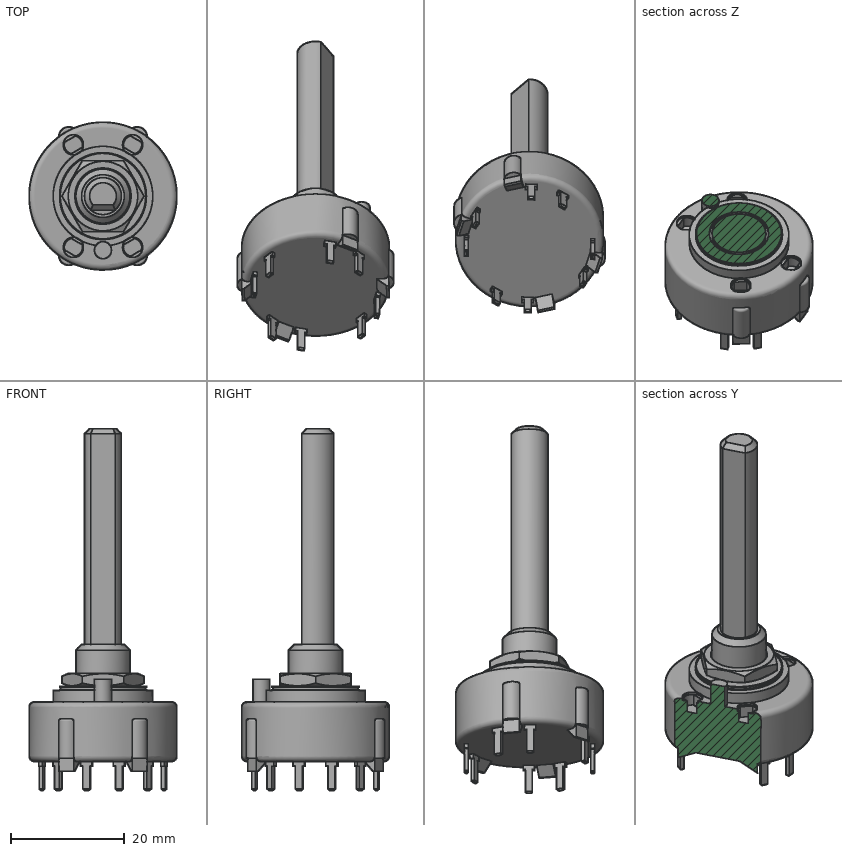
import cadquery as cq
import math


TOTAL_HEIGHT = 63.6
PIN_LENGTH = 5.1
SHAFT_TOP = TOTAL_HEIGHT - PIN_LENGTH

HOUSING_DIA = 26.0
HOUSING_HEIGHT = 10.5
HOUSING_FILLET = 1.0

BOSS_DIA = 17.5
BOSS_HEIGHT = 2.0
BOSS_TOP = HOUSING_HEIGHT + BOSS_HEIGHT

WASHER_DIA = 15.3
WASHER_GROOVE_DIA = 15.0
WASHER_BORE = 10.31
WASHER_THICKNESS = 0.75
WASHER_LIP = 0.15
WASHER_TOP = BOSS_TOP + WASHER_THICKNESS

NUT_ACROSS_FLATS = 12.5
NUT_HEIGHT = 2.25
NUT_FACE_DIA = 12.2
NUT_BORE = 9.9
NUT_CHAMFER_ANGLE = 25.0

BUSHING_DIA = 9.5
BUSHING_HEIGHT = 10.1
BUSHING_CHAMFER = 1.0
BUSHING_TOP = HOUSING_HEIGHT + BUSHING_HEIGHT

SHAFT_DIA = 6.5
SHAFT_FLAT_OFFSET = 2.45
SHAFT_CHAMFER = 0.9
FLAT_DEPTH_IN_BUSHING = 0.5

PEG_DIA = 3.0
PEG_RADIUS = 9.5
PEG_HEIGHT = 4.0

LATCH_ANGLES = (60, 120, 240, 300)
LEG_DIA = 3.55
LEG_RADIUS = 12.0
LEG_BOTTOM = 0.6
LEG_TOP = 7.5
LEG_FILLET = 0.4
FOOT_WIDTH = 3.0
FOOT_OUTER_RADIUS = 12.92
FOOT_DEPTH = 1.72
FOOT_TIP = 0.42
POCKET_DIA = 3.55
POCKET_RADIUS = 10.4
POCKET_DEPTH = 0.4
SLOT_DIA = 3.2
SLOT_WIDTH = 2.35
SLOT_DEPTH = 2.5

PIN_ANGLES = (45, 75, 135, 165, 225, 255, 315, 345)
PIN_RADIUS = 11.1
PIN_WIDTH = 1.25
PIN_THICKNESS = 0.7
PIN_TIP_CHAMFER = 0.3
SHOULDER_WIDTH = 2.05
SHOULDER_HEIGHT = 0.8

EMBED = 0.5


def cylinder(diameter, bottom, top):
    return cq.Workplane("XY").workplane(offset=bottom).circle(diameter / 2).extrude(top - bottom)


def turned(shape, angle):
    return shape.rotate((0, 0, 0), (0, 0, 1), angle)


def make_housing():
    drum = cylinder(HOUSING_DIA, 0, HOUSING_HEIGHT).edges().fillet(HOUSING_FILLET)
    return drum.union(cylinder(BOSS_DIA, HOUSING_HEIGHT - EMBED, BOSS_TOP))


def make_washer():
    rim = cylinder(WASHER_DIA, BOSS_TOP, WASHER_TOP)
    groove = cylinder(WASHER_DIA, BOSS_TOP + WASHER_LIP, WASHER_TOP - WASHER_LIP)
    groove = groove.cut(cylinder(WASHER_GROOVE_DIA, BOSS_TOP, WASHER_TOP))
    return rim.cut(groove).cut(cylinder(WASHER_BORE, BOSS_TOP, WASHER_TOP))


def make_nut():
    corner_radius = NUT_ACROSS_FLATS / 2 / math.cos(math.radians(30))
    drop = (corner_radius - NUT_FACE_DIA / 2) * math.tan(math.radians(NUT_CHAMFER_ANGLE))
    hexagon = cq.Workplane("XY").polygon(6, 2 * corner_radius).extrude(NUT_HEIGHT)
    envelope = (
        cq.Workplane("XZ")
        .polyline([
            (0, 0),
            (NUT_FACE_DIA / 2, 0),
            (corner_radius, drop),
            (corner_radius, NUT_HEIGHT - drop),
            (NUT_FACE_DIA / 2, NUT_HEIGHT),
            (0, NUT_HEIGHT),
        ])
        .close()
        .revolve(360, (0, 0), (0, 1))
    )
    nut = hexagon.intersect(envelope).cut(cylinder(NUT_BORE, 0, NUT_HEIGHT))
    return nut.translate((0, 0, WASHER_TOP))


def make_bushing():
    bushing = cylinder(BUSHING_DIA, BOSS_TOP - EMBED, BUSHING_TOP)
    bushing = bushing.faces(">Z").chamfer(BUSHING_CHAMFER)
    return bushing.cut(cylinder(SHAFT_DIA, BUSHING_TOP - FLAT_DEPTH_IN_BUSHING, BUSHING_TOP))


def make_shaft():
    bottom = BUSHING_TOP - FLAT_DEPTH_IN_BUSHING
    shaft = cylinder(SHAFT_DIA, bottom, SHAFT_TOP).faces(">Z").chamfer(SHAFT_CHAMFER)
    outer_y = -SHAFT_DIA
    flat_cutter = (
        cq.Workplane("YZ")
        .polyline([
            (outer_y, bottom),
            (-SHAFT_FLAT_OFFSET, bottom),
            (-SHAFT_FLAT_OFFSET, SHAFT_TOP - SHAFT_CHAMFER),
            (SHAFT_CHAMFER - SHAFT_FLAT_OFFSET, SHAFT_TOP),
            (outer_y, SHAFT_TOP),
        ])
        .close()
        .extrude(SHAFT_DIA, both=True)
    )
    return shaft.cut(flat_cutter)


def make_peg():
    peg = cylinder(PEG_DIA, HOUSING_HEIGHT - EMBED, HOUSING_HEIGHT + PEG_HEIGHT)
    return peg.translate((0, -PEG_RADIUS, 0))


def make_leg():
    """Leg and hooked foot of one latch, on the +X side."""
    leg = cylinder(LEG_DIA, LEG_BOTTOM, LEG_TOP).faces(">Z").edges().fillet(LEG_FILLET)
    tip_radius = FOOT_OUTER_RADIUS - FOOT_TIP
    foot_top = HOUSING_FILLET
    foot = (
        cq.Workplane("XZ")
        .polyline([
            (FOOT_OUTER_RADIUS, foot_top),
            (FOOT_OUTER_RADIUS, -FOOT_DEPTH),
            (tip_radius, -FOOT_DEPTH),
            (tip_radius - FOOT_DEPTH - EMBED, EMBED),
            (tip_radius - FOOT_DEPTH - EMBED, foot_top),
        ])
        .close()
        .extrude(FOOT_WIDTH / 2, both=True)
    )
    return leg.translate((LEG_RADIUS, 0, 0)).union(foot)


def make_pocket():
    """Material removed above one latch, on the +X side: a round recess over a round-ended slot."""
    slot_floor = HOUSING_HEIGHT - SLOT_DEPTH
    slot_blank = cq.Workplane("XY").box(SLOT_WIDTH, SLOT_DIA, TOTAL_HEIGHT)
    slot = cylinder(SLOT_DIA, slot_floor, HOUSING_HEIGHT).intersect(slot_blank)
    recess = cylinder(POCKET_DIA, HOUSING_HEIGHT - POCKET_DEPTH, HOUSING_HEIGHT)
    return recess.union(slot).translate((POCKET_RADIUS, 0, 0))


def make_pin():
    """One terminal with its shoulder, on the +X side."""
    blade = cq.Workplane("XY").workplane(offset=-PIN_LENGTH).rect(PIN_THICKNESS, PIN_WIDTH)
    blade = blade.extrude(PIN_LENGTH + EMBED).faces("<Z").chamfer(PIN_TIP_CHAMFER)
    shoulder = cq.Workplane("XY").workplane(offset=-SHOULDER_HEIGHT).rect(PIN_THICKNESS, SHOULDER_WIDTH)
    shoulder = shoulder.extrude(SHOULDER_HEIGHT + EMBED)
    return blade.union(shoulder).translate((PIN_RADIUS, 0, 0))


def make_switch():
    switch = make_housing()
    for angle in LATCH_ANGLES:
        switch = switch.cut(turned(make_pocket(), angle))
        switch = switch.union(turned(make_leg(), angle))
    for angle in PIN_ANGLES:
        switch = switch.union(turned(make_pin(), angle))
    switch = switch.union(make_peg()).union(make_washer()).union(make_nut())
    return switch.union(make_bushing()).union(make_shaft())


result = make_switch()